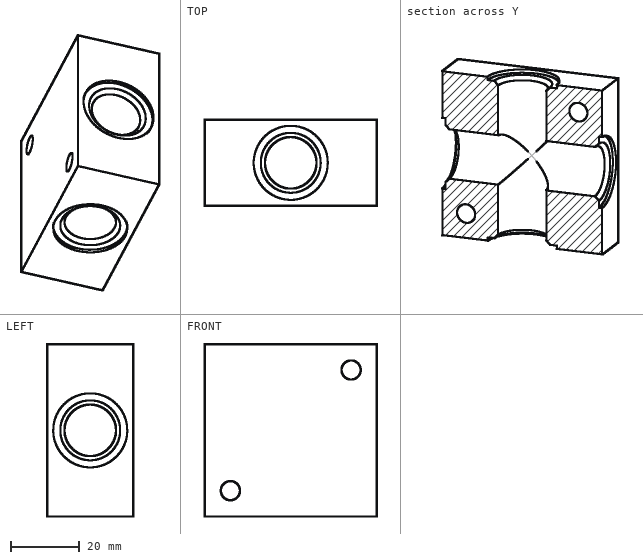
import cadquery as cq

WIDTH = 50.0
THICKNESS = 25.0
HEIGHT = 50.0

BORE_DIAMETER = 14.9
MOUTH_DIAMETER = 17.4
MOUTH_DEPTH = (MOUTH_DIAMETER - BORE_DIAMETER) / 2
SPOTFACE_DIAMETER = 21.5
SPOTFACE_DEPTH = 1.0

MOUNT_DIAMETER = 5.5
MOUNT_EDGE_DISTANCE = 7.5


def port_cutter(reach):
    """Spotface, countersink and bore, revolved about Z.

    The mouth lies at Z = reach and the bore ends at the origin.
    """
    bore_radius = BORE_DIAMETER / 2
    mouth_radius = MOUTH_DIAMETER / 2
    spotface_radius = SPOTFACE_DIAMETER / 2
    seat = reach - SPOTFACE_DEPTH
    return (
        cq.Workplane("XZ")
        .moveTo(0, 0)
        .lineTo(bore_radius, 0)
        .lineTo(bore_radius, seat - MOUTH_DEPTH)
        .lineTo(mouth_radius, seat)
        .lineTo(spotface_radius, seat)
        .lineTo(spotface_radius, reach)
        .lineTo(0, reach)
        .close()
        .revolve(360, (0, 0, 0), (0, 1, 0))
    )


def cut_ports(body):
    """Cut opposed ports along Z and X, so that the bores cross at the centre."""
    for angle, size in ((0, HEIGHT), (90, WIDTH), (180, HEIGHT), (270, WIDTH)):
        cutter = port_cutter(size / 2).rotate((0, 0, 0), (0, 1, 0), angle)
        body = body.cut(cutter)
    return body


def cut_mounting_holes(body):
    """Drill the two diagonal mounting holes through the thickness."""
    x = WIDTH / 2 - MOUNT_EDGE_DISTANCE
    z = HEIGHT / 2 - MOUNT_EDGE_DISTANCE
    holes = (
        cq.Workplane("XZ")
        .pushPoints([(x, z), (-x, -z)])
        .circle(MOUNT_DIAMETER / 2)
        .extrude(THICKNESS / 2, both=True)
    )
    return body.cut(holes)


block = cq.Workplane("XY").box(WIDTH, THICKNESS, HEIGHT)
result = cut_mounting_holes(cut_ports(block))